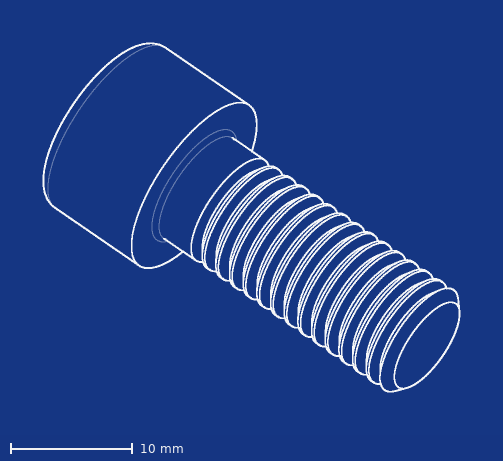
import cadquery as cq
import math

total_length = 35.0

head_diameter = 16.0
head_length = 10.0
head_edge_radius = 1.0

shank_diameter = 10.0
neck_fillet_radius = 0.42
groove_count = 14
groove_width = 1.2
groove_depth = 0.75
first_groove_centre = 14.5
last_groove_centre = 33.55
groove_pitch = (last_groove_centre - first_groove_centre) / (groove_count - 1)
tip_chamfer = 0.85

socket_across_flats = 8.05
socket_depth = 5.0
cone_diameter = 7.95
cone_point_angle = 120.0


def cylinder_along_x(start, length, diameter):
    return cq.Workplane("YZ", origin=(start, 0, 0)).circle(diameter / 2).extrude(length)


def make_blank():
    """Head and plain shank, with rounded head rim, neck fillet and chamfered tip."""
    head = cylinder_along_x(0, head_length, head_diameter)
    head = head.faces("<X").edges().fillet(head_edge_radius)
    shank = cylinder_along_x(head_length, total_length - head_length, shank_diameter)
    shank = shank.faces(">X").edges().chamfer(tip_chamfer)
    blank = head.union(shank)
    head_underside = blank.faces(">X[-2]")
    neck_edge = cq.selectors.RadiusNthSelector(0)
    return head_underside.edges(neck_edge).fillet(neck_fillet_radius)


def make_groove(centre):
    """Ring with a V section, its point towards the axis."""
    crest = shank_diameter / 2
    root = crest - groove_depth
    half_width = groove_width / 2
    section = cq.Workplane("XY").polyline(
        [(centre - half_width, crest), (centre, root), (centre + half_width, crest)]
    )
    return section.close().revolve(360, (0, 0, 0), (1, 0, 0))


def make_socket():
    """Hexagon with corners on the Y axis, ending in a cone."""
    across_corners = socket_across_flats / math.cos(math.pi / 6)
    hexagon = cq.Workplane("YZ").polygon(6, across_corners).extrude(socket_depth)
    cone_radius = cone_diameter / 2
    cone_depth = cone_radius / math.tan(math.radians(cone_point_angle / 2))
    cone = (
        cq.Workplane("XY")
        .polyline([(socket_depth, 0), (socket_depth, cone_radius), (socket_depth + cone_depth, 0)])
        .close()
        .revolve(360, (0, 0, 0), (1, 0, 0))
    )
    return hexagon.union(cone)


result = make_blank()
for index in range(groove_count):
    result = result.cut(make_groove(first_groove_centre + index * groove_pitch))
result = result.cut(make_socket())